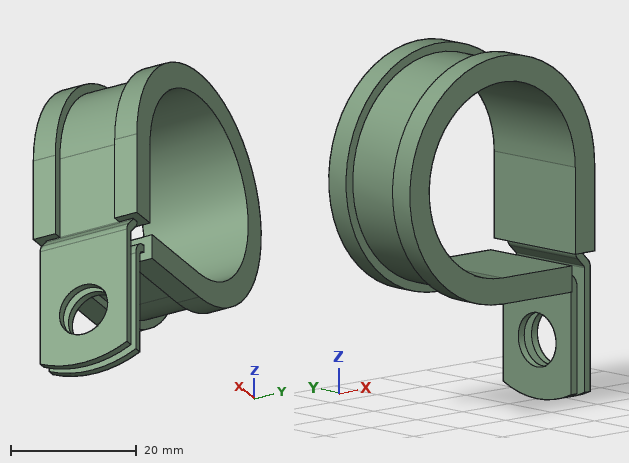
import cadquery as cq
import math

cushion_radius = 20.1
bore_radius = 15.85
cushion_width = 18.9
groove_width = 10.85
upper_leg_end = -14.1
lower_leg_end = 15.15

strap_radius = 18.65
strap_thickness = 1.3
strap_width = 15.85
strap_inner_radius = strap_radius - strap_thickness

overall_height = 58.95
overall_length = 40.7
tab_bottom = cushion_radius - overall_height
outer_tab_face = overall_length - cushion_radius
inner_tab_face = 17.7
tab_end_sagitta = 1.75
hole_diameter = 8.8
hole_height = 9.55

lower_bend_radius = inner_tab_face - lower_leg_end
jog_inside_radius = 0.4
jog_outside_radius = jog_inside_radius + strap_thickness
jog_angle = math.radians(45)


def extrude_centered(profile, width):
    """Extrude an XZ profile symmetrically about Y = 0."""
    return profile.extrude(width / 2, both=True)


def loop_band(outer, inner, width):
    """Three-quarter ring with straight tangent legs running to both ends."""
    diagonal = math.sqrt(0.5)
    profile = (
        cq.Workplane("XZ")
        .moveTo(outer, upper_leg_end)
        .lineTo(outer, 0)
        .threePointArc((-outer * diagonal, outer * diagonal), (0, -outer))
        .lineTo(lower_leg_end, -outer)
        .lineTo(lower_leg_end, -inner)
        .lineTo(0, -inner)
        .threePointArc((-inner * diagonal, inner * diagonal), (inner, 0))
        .lineTo(inner, upper_leg_end)
        .close()
    )
    return extrude_centered(profile, width)


def polar(center, radius, angle):
    """Point at an angle (radians, from +X toward +Z) around a center."""
    return (center[0] + radius * math.cos(angle), center[1] + radius * math.sin(angle))


def lower_tab():
    """Strap end turned down from the horizontal leg."""
    outside = lower_bend_radius
    inside = outside - strap_thickness
    center = (lower_leg_end, -strap_inner_radius - outside)
    middle = math.radians(45)
    profile = (
        cq.Workplane("XZ")
        .moveTo(*polar(center, outside, math.pi / 2))
        .threePointArc(polar(center, outside, middle), polar(center, outside, 0))
        .lineTo(inner_tab_face, tab_bottom)
        .lineTo(inner_tab_face - strap_thickness, tab_bottom)
        .lineTo(*polar(center, inside, 0))
        .threePointArc(polar(center, inside, middle), polar(center, inside, math.pi / 2))
        .close()
    )
    return extrude_centered(profile, strap_width)


def upper_tab():
    """Strap end stepped outward below the vertical leg by an S-shaped jog."""
    jog = outer_tab_face - strap_radius
    both_radii = jog_inside_radius + jog_outside_radius
    slope_run = jog - both_radii * (1 - math.cos(jog_angle))
    drop = both_radii * math.sin(jog_angle) + slope_run / math.tan(jog_angle)
    first = (strap_radius + jog_inside_radius, upper_leg_end)
    second = (outer_tab_face - jog_outside_radius, upper_leg_end - drop)
    half = jog_angle / 2
    r_in = jog_inside_radius
    r_out = jog_outside_radius
    profile = (
        cq.Workplane("XZ")
        .moveTo(*polar(first, r_in, math.pi))
        .threePointArc(polar(first, r_in, math.pi + half), polar(first, r_in, math.pi + jog_angle))
        .lineTo(*polar(second, r_out, jog_angle))
        .threePointArc(polar(second, r_out, half), polar(second, r_out, 0))
        .lineTo(outer_tab_face, tab_bottom)
        .lineTo(outer_tab_face - strap_thickness, tab_bottom)
        .lineTo(*polar(second, r_in, 0))
        .threePointArc(polar(second, r_in, half), polar(second, r_in, jog_angle))
        .lineTo(*polar(first, r_out, math.pi + jog_angle))
        .threePointArc(polar(first, r_out, math.pi + half), polar(first, r_out, math.pi))
        .close()
    )
    return extrude_centered(profile, strap_width)


def tab_outline():
    """Block along X that gives both tabs their rounded lower end and bolt hole."""
    half_width = strap_width / 2
    corner = tab_bottom + tab_end_sagitta
    return (
        cq.Workplane("YZ")
        .moveTo(-half_width, 0)
        .lineTo(-half_width, corner)
        .threePointArc((0, tab_bottom), (half_width, corner))
        .lineTo(half_width, 0)
        .close()
        .moveTo(0, tab_bottom + hole_height)
        .circle(hole_diameter / 2)
        .extrude(overall_length)
    )


flange_width = (cushion_width - groove_width) / 2
flange_offset = (groove_width + flange_width) / 2
clamp = loop_band(strap_radius, bore_radius, cushion_width)
for side in (-1, 1):
    flange = loop_band(cushion_radius, bore_radius, flange_width)
    clamp = clamp.union(flange.translate((0, side * flange_offset, 0)))

tabs = lower_tab().union(upper_tab()).intersect(tab_outline())
result = clamp.union(tabs)